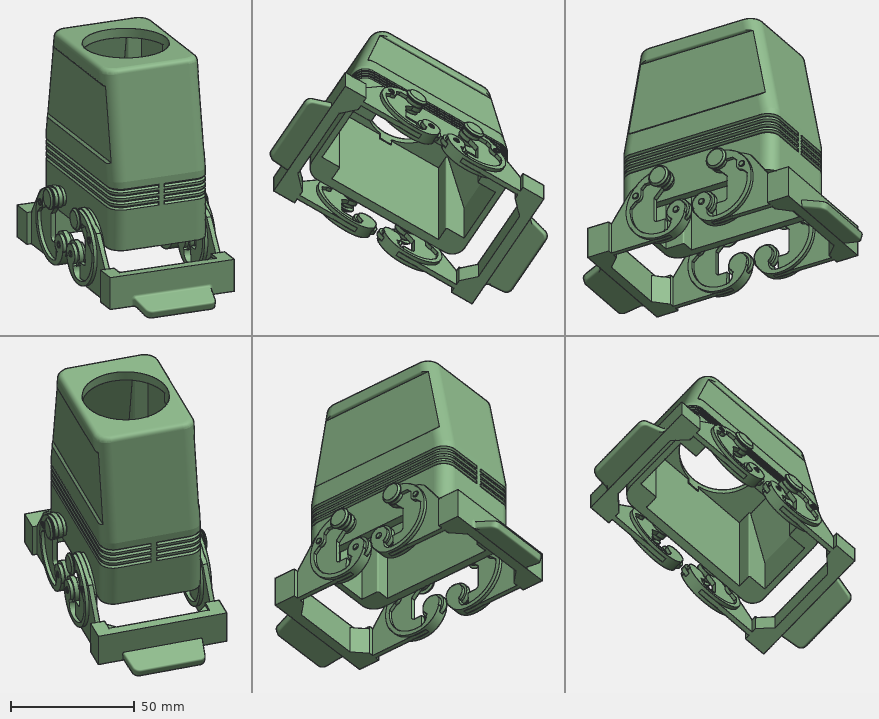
import cadquery as cq
import math

PICK_MARGIN = 0.1

OVERALL_LENGTH = 115.79
OVERALL_HEIGHT = 98.08
HOOD_LENGTH = 73.0
HOOD_DEPTH = 43.0
HOOD_HEIGHT = 75.2
HOOD_CORNER_R = 6.0
HOOD_TOP_R = 2.4
TOP_LENGTH = 56.0
TAPER_START_Z = 29.5
TOP_THICKNESS = 4.0
CABLE_HOLE_D = 35.4

CAVITY_LENGTH = 51.0
CAVITY_DEPTH = 36.0
END_SLOT_WIDTH = 24.0
END_SLOT_EDGE_R = 0.6
END_WALL = 2.5
STOP_WIDTH = 5.4
STOP_HEIGHT = 4.4

PANEL_BOTTOM_Z = 36.2
PANEL_TOP_Z = 69.0
PANEL_RECESS = 1.0
PANEL_EDGE_R = 0.8

GROOVE_COUNT = 4
GROOVE_PITCH = 2.5
GROOVE_WIDTH = 1.5
GROOVE_DEPTH = 0.8
LOWEST_GROOVE_Z = 18.3
GROOVE_GAP = 2.4

INNER_RIM_Y = 22.0
PLATE_INNER_Y = 23.5
PLATE_OUTER_Y = 25.5
OUTER_RIM_Y = 27.0
PIN_HEAD_Y = 27.4
BUTTON_INNER_Y = 27.8
BUTTON_OUTER_Y = 29.0

CAM_CENTER = (-13.5, -4.4)
CAM_PLATE_R = 16.4
CAM_RIM_R = 16.1
CAM_INNER_R = 14.2

PIVOT = (-13.6, 7.7)
PIVOT_PLATE_R = 4.3
PIVOT_RIM_R = 3.8
PIVOT_STEM_R = 2.65
BUTTON_R = 4.6
BUTTON_CHAMFER = 0.8

ROLLER = (-6.0, -9.9)
ROLLER_PLATE_R = 5.4
ROLLER_RIM_R = 4.25

RIVET = (-25.1, 2.2)
RIVET_R = 1.4
RIVET_CHAMFER = 0.35

LOBE_R = 2.5
LOBE_ARC_ANGLE = 173.0
LOBE_NOTCH = 1.8
RIM_LEDGE_Z = 6.6

HOOK_START_ANGLE = -77.0
HOOK_MID = (-5.4, -17.6)
HOOK_ROLLER_END = (-2.0, -12.0)
THROAT_TOP = (-8.6, -14.3)
THROAT_MID = (-9.5, -17.3)
THROAT_BOTTOM = (-12.3, -18.5)
THROAT_EDGE_X = -12.0

WINDOW_X = -17.3
WINDOW_TOP_Z = -0.4
WINDOW_BOTTOM_Z = -11.8
WINDOW_CORNER_R = 1.5
SHOULDER_LOW = (-28.5, 6.0)
SHOULDER_MID = (-26.4, 7.3)
SHOULDER_ANGLE = 129.0

BAR_OUTER_X = -47.5
BAR_INNER_X = -37.5
BAR_THICKNESS = 4.3
BAR_HALF_WIDTH = 27.5
BAR_TOP_Z = -6.4
BAR_BOTTOM_Z = -20.2
BAR_GAP_HALF = 21.5
GUSSET_SIZE = BAR_INNER_X - BAR_OUTER_X - BAR_THICKNESS
GUSSET_DROP = 1.3

TAB_TIP_X = -OVERALL_LENGTH / 2
TAB_TIP_BOTTOM_Z = HOOD_HEIGHT - OVERALL_HEIGHT
TAB_ANGLE = 17.0
TAB_THICKNESS = 3.6
TAB_ROOT_HALF = 17.1
TAB_TIP_HALF = 15.1
TAB_CORNER_R = 2.8
TAB_ROOT_R = 1.2
TAB_EDGE_R = 0.8
TAB_ROOT_DEPTH = 2.0


def rounded_section(length, depth, radius, z):
    """Rounded rectangle sketch centred on the Z axis at height z."""
    return cq.Sketch().rect(length, depth).vertices().fillet(radius).moved(cq.Location(cq.Vector(0, 0, z)))


def hood_outside():
    """Block whose ends lean inwards above the base, with all corners rounded."""
    half_base = HOOD_LENGTH / 2
    half_top = TOP_LENGTH / 2
    block = (
        cq.Workplane("XZ")
        .polyline([
            (-half_base, 0), (half_base, 0), (half_base, TAPER_START_Z), (half_top, HOOD_HEIGHT),
            (-half_top, HOOD_HEIGHT), (-half_base, TAPER_START_Z),
        ])
        .close()
        .extrude(HOOD_DEPTH / 2, both=True)
    )
    upright_edges = block.edges("not (#Z or |Y)")
    return upright_edges.fillet(HOOD_CORNER_R).faces(">Z").edges().fillet(HOOD_TOP_R)


def side_panel_cutter():
    """Recess across the +Y side: rounded top edge, 45 degree bottom edge."""
    outer_y = HOOD_DEPTH / 2
    floor_y = outer_y - PANEL_RECESS
    clear_y = outer_y + PANEL_RECESS
    step_z = PANEL_TOP_Z - PANEL_EDGE_R
    bend = PANEL_EDGE_R * math.sqrt(0.5)
    return (
        cq.Workplane("YZ")
        .moveTo(floor_y, PANEL_BOTTOM_Z + PANEL_RECESS)
        .lineTo(floor_y, step_z)
        .lineTo(outer_y - PANEL_EDGE_R, step_z)
        .threePointArc((outer_y - PANEL_EDGE_R + bend, PANEL_TOP_Z - bend), (outer_y, PANEL_TOP_Z))
        .lineTo(clear_y, PANEL_TOP_Z)
        .lineTo(clear_y, PANEL_BOTTOM_Z)
        .lineTo(outer_y, PANEL_BOTTOM_Z)
        .close()
        .extrude(HOOD_LENGTH / 2, both=True)
    )


def groove_ring(z):
    """V-shaped groove cutter around the hood base, left out at the middle of both ends."""
    def layer(inset, height):
        return rounded_section(
            HOOD_LENGTH - 2 * inset, HOOD_DEPTH - 2 * inset, HOOD_CORNER_R - inset, height
        )

    slab = cq.Workplane("XY").box(2 * HOOD_LENGTH, 2 * HOOD_DEPTH, GROOVE_WIDTH).translate((0, 0, z))
    for side in (-1, 1):
        core = (
            cq.Workplane("XY")
            .placeSketch(layer(GROOVE_DEPTH, z), layer(0, z + side * GROOVE_WIDTH / 2))
            .loft(ruled=True)
        )
        slab = slab.cut(core)
    gap = cq.Workplane("XY").box(2 * HOOD_LENGTH, GROOVE_GAP, GROOVE_WIDTH).translate((0, 0, z))
    return slab.cut(gap)


def cavity():
    """Space inside the hood, open at the bottom, with a sloping slot in each end wall."""
    ceiling_z = HOOD_HEIGHT - TOP_THICKNESS
    space = cq.Workplane("XY").rect(CAVITY_LENGTH, CAVITY_DEPTH).extrude(ceiling_z)
    slope = (HOOD_LENGTH - TOP_LENGTH) / 2 / (HOOD_HEIGHT - TAPER_START_Z)
    base_x = HOOD_LENGTH / 2 - END_WALL
    ceiling_x = base_x - slope * (ceiling_z - TAPER_START_Z)
    slot = (
        cq.Workplane("XZ")
        .polyline([
            (-base_x, 0), (base_x, 0), (base_x, TAPER_START_Z), (ceiling_x, ceiling_z),
            (-ceiling_x, ceiling_z), (-base_x, TAPER_START_Z),
        ])
        .close()
        .extrude(END_SLOT_WIDTH / 2, both=True)
    )
    stops = (
        cq.Workplane("XY")
        .rect(STOP_WIDTH, CAVITY_DEPTH)
        .extrude(STOP_HEIGHT)
        .cut(cq.Workplane("XY").circle(CABLE_HOLE_D / 2).extrude(STOP_HEIGHT))
        .translate((0, 0, ceiling_z - STOP_HEIGHT))
    )
    slot_edges = cq.selectors.BoxSelector(
        (-CAVITY_LENGTH / 2 - PICK_MARGIN, -END_SLOT_WIDTH / 2 - PICK_MARGIN, 0),
        (CAVITY_LENGTH / 2 + PICK_MARGIN, END_SLOT_WIDTH / 2 + PICK_MARGIN, ceiling_z),
    )
    space = space.union(slot).edges("|Z").edges(slot_edges).fillet(END_SLOT_EDGE_R)
    return space.cut(stops)


def make_hood():
    """Hollow hood with side panels, grooves and the cable hole."""
    hood = hood_outside()
    panel = side_panel_cutter()
    hood = hood.cut(panel).cut(panel.mirror("XZ"))
    for index in range(GROOVE_COUNT):
        hood = hood.cut(groove_ring(LOWEST_GROOVE_Z + index * GROOVE_PITCH))
    cable_hole = cq.Workplane("XY").circle(CABLE_HOLE_D / 2).extrude(HOOD_HEIGHT)
    return hood.cut(cavity()).cut(cable_hole)


def disc(center, radius, y_start, y_end):
    """Cylinder along Y through the point center = (x, z)."""
    plane = cq.Workplane("XZ", origin=(0, y_start, 0))
    return plane.center(*center).circle(radius).extrude(y_start - y_end)


def cam_point(radius, angle):
    """Point (x, z) on a circle about the cam centre, angle in degrees from +X."""
    turn = math.radians(angle)
    return (CAM_CENTER[0] + radius * math.cos(turn), CAM_CENTER[1] + radius * math.sin(turn))


def arm_plate():
    """Middle layer: flat arm from the crossbar to the pivot, window and hook."""
    bend = WINDOW_CORNER_R * (1 - math.sqrt(0.5))
    outline = (
        cq.Workplane("XZ", origin=(0, PLATE_INNER_Y, 0))
        .moveTo(BAR_INNER_X, BAR_BOTTOM_Z)
        .lineTo(BAR_INNER_X, BAR_TOP_Z)
        .lineTo(*SHOULDER_LOW)
        .threePointArc(SHOULDER_MID, cam_point(CAM_PLATE_R, SHOULDER_ANGLE))
        .threePointArc(
            cam_point(CAM_PLATE_R, (SHOULDER_ANGLE + 90) / 2),
            (PIVOT[0], PIVOT[1] + PIVOT_PLATE_R),
        )
        .lineTo(PIVOT[0], PIVOT[1] - PIVOT_PLATE_R)
        .lineTo(WINDOW_X, WINDOW_TOP_Z)
        .lineTo(WINDOW_X, WINDOW_BOTTOM_Z + WINDOW_CORNER_R)
        .threePointArc(
            (WINDOW_X + bend, WINDOW_BOTTOM_Z + bend),
            (WINDOW_X + WINDOW_CORNER_R, WINDOW_BOTTOM_Z),
        )
        .lineTo(THROAT_EDGE_X, WINDOW_BOTTOM_Z)
        .lineTo(*THROAT_BOTTOM)
        .threePointArc(THROAT_MID, THROAT_TOP)
        .lineTo(*ROLLER)
        .lineTo(*HOOK_ROLLER_END)
        .threePointArc(HOOK_MID, cam_point(CAM_RIM_R, HOOK_START_ANGLE))
        .close()
    )
    plate = outline.extrude(PLATE_INNER_Y - PLATE_OUTER_Y)
    plate = plate.union(disc(PIVOT, PIVOT_PLATE_R, PLATE_INNER_Y, PLATE_OUTER_Y))
    return plate.union(disc(ROLLER, ROLLER_PLATE_R, PLATE_INNER_Y, PLATE_OUTER_Y))


def cam_rim(y_start, y_end):
    """Raised C-shaped rim from the pivot around the cam to the roller, with a rivet lobe."""
    lobe_right_x = RIVET[0] + LOBE_R
    lobe_bend = LOBE_R * math.sqrt(0.5)
    outline = (
        cq.Workplane("XZ", origin=(0, y_start, 0))
        .moveTo(*PIVOT)
        .lineTo(PIVOT[0], PIVOT[1] + PIVOT_RIM_R)
        .threePointArc(cam_point(CAM_RIM_R, 180), cam_point(CAM_RIM_R, HOOK_START_ANGLE))
        .threePointArc(HOOK_MID, HOOK_ROLLER_END)
        .lineTo(*ROLLER)
        .lineTo(*THROAT_TOP)
        .threePointArc(THROAT_MID, THROAT_BOTTOM)
        .lineTo(*cam_point(CAM_INNER_R, -90))
        .threePointArc(cam_point(CAM_INNER_R, -135), cam_point(CAM_INNER_R, LOBE_ARC_ANGLE))
        .lineTo(RIVET[0], RIVET[1] - LOBE_R)
        .threePointArc((RIVET[0] + lobe_bend, RIVET[1] - lobe_bend), (lobe_right_x, RIVET[1]))
        .lineTo(lobe_right_x, RIM_LEDGE_Z - LOBE_NOTCH)
        .lineTo(lobe_right_x + LOBE_NOTCH, RIM_LEDGE_Z)
        .lineTo(PIVOT[0], RIM_LEDGE_Z)
        .close()
    )
    rim = outline.extrude(y_start - y_end)
    rim = rim.union(disc(PIVOT, PIVOT_RIM_R, y_start, y_end))
    return rim.union(disc(ROLLER, ROLLER_RIM_R, y_start, y_end))


def lever_arm():
    """Arm on the +Y side with its rims, rivets and pivot button."""
    arm = arm_plate()
    arm = arm.union(cam_rim(INNER_RIM_Y, PLATE_INNER_Y))
    arm = arm.union(cam_rim(PLATE_OUTER_Y, OUTER_RIM_Y))
    for center in (ROLLER, RIVET):
        rivet = disc(center, RIVET_R, PLATE_OUTER_Y, PIN_HEAD_Y).faces(">Y").chamfer(RIVET_CHAMFER)
        arm = arm.union(rivet)
    stem = disc(PIVOT, PIVOT_STEM_R, HOOD_DEPTH / 2 - PANEL_RECESS, BUTTON_INNER_Y)
    button = disc(PIVOT, BUTTON_R, BUTTON_INNER_Y, BUTTON_OUTER_Y).faces(">Y").chamfer(BUTTON_CHAMFER)
    return arm.union(stem).union(button)


def crossbar():
    """U-shaped bar with recessed gussets in its two inner corners."""
    height = BAR_TOP_Z - BAR_BOTTOM_Z
    web_x = BAR_OUTER_X + BAR_THICKNESS
    plane = cq.Workplane("XY", origin=(0, 0, BAR_BOTTOM_Z))
    bar = plane.polyline([
        (BAR_OUTER_X, -BAR_HALF_WIDTH), (BAR_INNER_X, -BAR_HALF_WIDTH), (BAR_INNER_X, -BAR_GAP_HALF),
        (web_x, -BAR_GAP_HALF), (web_x, BAR_GAP_HALF), (BAR_INNER_X, BAR_GAP_HALF),
        (BAR_INNER_X, BAR_HALF_WIDTH), (BAR_OUTER_X, BAR_HALF_WIDTH),
    ]).close().extrude(height)
    for side in (-1, 1):
        gusset = plane.polyline([
            (web_x, side * BAR_GAP_HALF),
            (web_x + GUSSET_SIZE, side * BAR_GAP_HALF),
            (web_x, side * (BAR_GAP_HALF - GUSSET_SIZE)),
        ]).close().extrude(height - GUSSET_DROP)
        bar = bar.union(gusset)
    return bar


def finger_tab(root_radius=0):
    """Tapered tab sloping down and outwards, with an optional fillet at the crossbar."""
    turn = math.radians(TAB_ANGLE)
    round_spacing = TAB_THICKNESS - 2 * TAB_EDGE_R
    upper_round_x = TAB_TIP_X + TAB_EDGE_R
    upper_round_z = TAB_TIP_BOTTOM_Z + TAB_EDGE_R + round_spacing * math.cos(turn)
    tip_x = upper_round_x - TAB_EDGE_R * (math.cos(turn) + math.sin(turn))
    tip_z = upper_round_z + TAB_EDGE_R * (math.cos(turn) - math.sin(turn))
    reach = (BAR_OUTER_X - tip_x) / math.cos(turn)
    plane = cq.Plane(
        origin=(tip_x, 0, tip_z),
        xDir=(math.cos(turn), 0, math.sin(turn)),
        normal=(-math.sin(turn), 0, math.cos(turn)),
    )
    tab = (
        cq.Workplane(plane)
        .polyline([
            (0, -TAB_TIP_HALF), (reach, -TAB_ROOT_HALF), (reach + TAB_ROOT_DEPTH, -TAB_ROOT_HALF),
            (reach + TAB_ROOT_DEPTH, TAB_ROOT_HALF), (reach, TAB_ROOT_HALF), (0, TAB_TIP_HALF),
        ])
        .close()
        .extrude(-TAB_THICKNESS)
    )
    tip_corners = cq.selectors.BoxSelector(
        (tip_x - TAB_THICKNESS, -TAB_ROOT_HALF, TAB_TIP_BOTTOM_Z - TAB_THICKNESS),
        (tip_x + TAB_THICKNESS, TAB_ROOT_HALF, BAR_TOP_Z),
    )
    across_thickness = cq.selectors.ParallelDirSelector(plane.zDir)
    tab = tab.edges(across_thickness).edges(tip_corners).fillet(TAB_CORNER_R)
    tab = tab.faces(across_thickness).edges("not >X").fillet(TAB_EDGE_R)
    if root_radius == 0:
        return tab

    web_height = 2 * (BAR_TOP_Z - BAR_BOTTOM_Z)
    web_bottom_z = BAR_TOP_Z - web_height
    web = (
        cq.Workplane("XY")
        .box(BAR_THICKNESS, 2 * BAR_HALF_WIDTH, web_height)
        .translate((BAR_OUTER_X + BAR_THICKNESS / 2, 0, BAR_TOP_Z - web_height / 2))
    )
    root_edges = cq.selectors.BoxSelector(
        (BAR_OUTER_X - PICK_MARGIN, PICK_MARGIN - BAR_HALF_WIDTH, web_bottom_z + PICK_MARGIN),
        (BAR_OUTER_X + PICK_MARGIN, BAR_HALF_WIDTH - PICK_MARGIN, BAR_TOP_Z - PICK_MARGIN),
    )
    blended = web.union(tab).edges("#X").edges(root_edges).fillet(root_radius)
    below_tab = (
        cq.Workplane(plane)
        .workplane(offset=-TAB_THICKNESS)
        .rect(4 * BAR_HALF_WIDTH, 4 * BAR_HALF_WIDTH)
        .extrude(-web_height)
    )
    return blended.cut(below_tab)


def make_lever(tab_root_radius=0):
    """Whole lever on the -X side; only a positive radius blends the tab root."""
    arm = lever_arm()
    return crossbar().union(finger_tab(tab_root_radius)).union(arm).union(arm.mirror("XZ"))


hood = make_hood()
left_lever = make_lever()
right_lever = make_lever(TAB_ROOT_R).mirror("YZ")
result = hood.union(left_lever).union(right_lever)